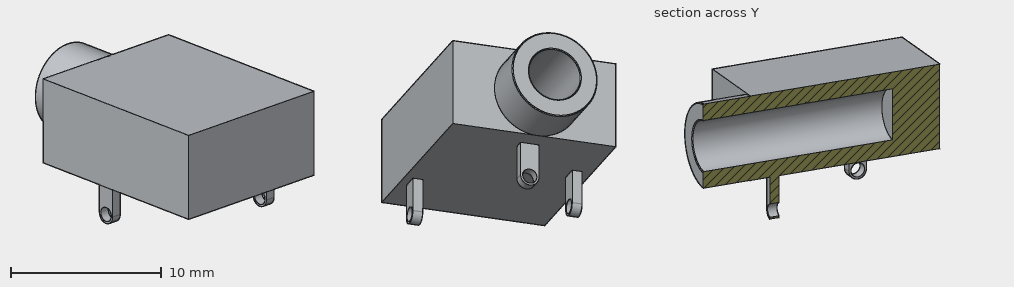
import cadquery as cq

total_length = 17.5
barrel_length = 3.5
barrel_diameter = 6.0
housing_length = total_length - barrel_length
housing_width = 11.5
housing_height = barrel_diameter
housing_offset = 0.2
housing_bottom = -housing_height / 2

bore_diameter = 3.6
bore_depth = 14.0
rim_chamfer = 0.063

pin_length = 3.0
pin_width = 1.3
pin_thickness = 0.7
pin_hole_diameter = 1.0
front_pin_x = 5.28
side_pin_positions = ((8.8, -4.5), (13.62, 5.0))


def make_housing():
    block = cq.Workplane("XY").box(
        housing_length, housing_width, housing_height, centered=(False, True, True)
    )
    return block.translate((barrel_length, housing_offset, 0))


def make_barrel():
    barrel = cq.Workplane("YZ").circle(barrel_diameter / 2).extrude(barrel_length)
    return barrel.faces("<X").chamfer(rim_chamfer)


def make_bore():
    bore = cq.Workplane("YZ").circle(bore_diameter / 2).extrude(bore_depth)
    mouth = (
        cq.Workplane("YZ")
        .circle(bore_diameter / 2 + rim_chamfer)
        .workplane(offset=rim_chamfer)
        .circle(bore_diameter / 2)
        .loft()
    )
    return bore.union(mouth)


def make_pin():
    """Pin hanging from the origin, with its broad faces across Y."""
    tip_radius = pin_width / 2
    tip_centre = tip_radius - pin_length
    return (
        cq.Workplane("XZ")
        .moveTo(-tip_radius, 0)
        .lineTo(-tip_radius, tip_centre)
        .threePointArc((0, -pin_length), (tip_radius, tip_centre))
        .lineTo(tip_radius, 0)
        .close()
        .moveTo(0, tip_centre)
        .circle(pin_hole_diameter / 2)
        .extrude(pin_thickness / 2, both=True)
    )


result = make_housing().union(make_barrel()).cut(make_bore())

pin = make_pin()
front_pin = pin.rotate((0, 0, 0), (0, 0, 1), 90)
result = result.union(front_pin.translate((front_pin_x, 0, housing_bottom)))
for x, y in side_pin_positions:
    result = result.union(pin.translate((x, y, housing_bottom)))